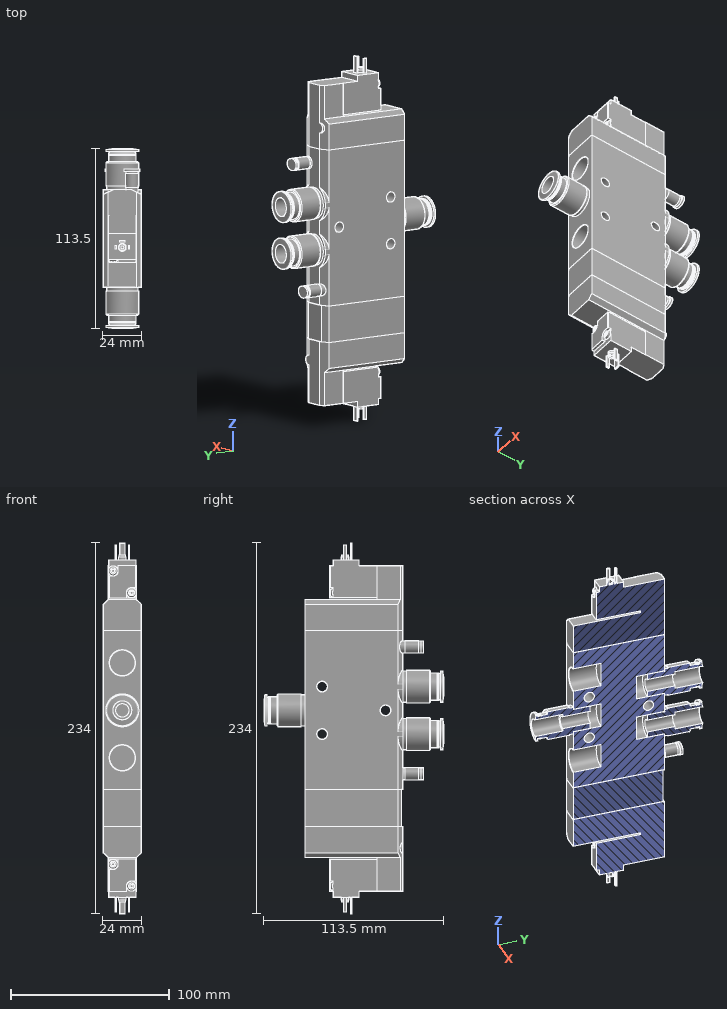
import cadquery as cq

overall_depth = 113.5
body_width = 24.0
half_width = body_width / 2
front_y = -31.0
back_y = 31.0
bevel_start_y = 27.8
bevel_end_x = 5.5
spacer_back_y = 30.2

stack_half_length = 81.5
cap_length = 19.7
spacer_length = 23.5
body_top = stack_half_length - cap_length
spacer_bottom = -body_top
body_bottom = spacer_bottom + spacer_length
port_z = 11.5

port_dia = 16.1
port_mouth_dia = 16.5
port_depth = 18.7
front_port_pitch = 30.0
back_port_offset = front_port_pitch / 2
boss_dia = 24.3
mount_dia = 6.5
mount_pitch = 40.0
mount_y = mount_pitch / 2
pilot_port_dia = 6.5
pilot_port_depth = 9.4
pilot_port_x = 6.0
pilot_port_offset = 40.0

base_dia = 20.0
sleeve_dia = 20.8
sleeve_end_dia = 19.5
neck_dia = 17.3
groove_dia = 16.5
rim_width = 20.8
rim_height = 20.0
nose_dia = 19.5
bore_dia = 12.0
tube_stop_dia = 8.5
base_end = 2.3
sleeve_end = 17.5
groove_start = 21.5
groove_end = 22.2
neck_end = 23.0
rim_start = 23.9
rim_end = 25.3
fitting_end = overall_depth / 2 - back_y
sleeve_bevel = 0.7
stem_length = 11.7
tube_stop_depth = 18.7

small_dia = 8.0
small_neck_dia = 7.7
small_base_dia = 7.7
small_base_end = 1.5
small_sleeve_end = 10.0
small_flange_start = 11.5
small_flange_end = 13.0
small_flange_width = 9.8

tower_half_width = 9.0
tower_front_y = 14.5
tower_top = 102.7
cap_bevel_x = half_width - tower_half_width
cap_bevel_z = 3.0
button_dia = 6.5
button_x = -5.8
button_z = 75.3

solenoid_half_width = 8.7
solenoid_front_y = -15.2
solenoid_gap = 1.0
solenoid_bottom = stack_half_length + solenoid_gap
solenoid_edge = 0.5
hat_front_y = -13.0
hat_back_y = 3.3
hat_top = 106.5

pocket_dia = 6.5
screw_x = 5.8
screw_base_dia = 6.3
screw_head_dia = 3.7
screw_socket_dia = 2.0
screw_height = 1.6
socket_depth = 1.0

plug_y = -5.5
collar_tiers = [(5.0, 108.0), (4.2, 109.5)]
plug_hole_dia = 2.0
blade_thickness = 1.0
center_blade_width = 3.5
center_blade_y = -1.6
center_blade_top = 117.0
side_blade_width = 2.0
side_blade_x = 4.2
side_blade_top = 115.8


def box(x_range, y_range, z_range):
    """Box spanning the given ranges."""
    corner = (x_range[0], y_range[0], z_range[0])
    size = (x_range[1] - x_range[0], y_range[1] - y_range[0], z_range[1] - z_range[0])
    return cq.Workplane("XY").box(*size, centered=False).translate(corner)


def cylinder_along_y(dia, x, z, y_start, y_end):
    """Cylinder parallel to Y between two Y positions."""
    length = y_end - y_start
    start = cq.Vector(x, y_start, z)
    return cq.Workplane(cq.Solid.makeCylinder(dia / 2, length, start, cq.Vector(0, 1, 0)))


def beveled_prism(z_bottom, z_top):
    """Section of the valve stack between two heights: a rectangle with wide bevels at the two back edges."""
    outline = [
        (-half_width, front_y),
        (half_width, front_y),
        (half_width, bevel_start_y),
        (bevel_end_x, back_y),
        (-bevel_end_x, back_y),
        (-half_width, bevel_start_y),
    ]
    return cq.Workplane("XY").workplane(offset=z_bottom).polyline(outline).close().extrude(z_top - z_bottom)


def port_cutter(z, face_y, inward):
    """Blind port drilled from a face; inward is +1 or -1 along Y, with a small bevel at the mouth."""
    mouth_radius = port_mouth_dia / 2
    radius = port_dia / 2
    mouth_depth = mouth_radius - radius
    profile = [(0, 0), (mouth_radius, 0), (radius, mouth_depth), (radius, port_depth), (0, port_depth)]
    cutter = cq.Workplane("XY").polyline(profile).close().revolve(360, (0, 0), (0, 1))
    if inward < 0:
        cutter = cutter.rotate((0, 0, 0), (1, 0, 0), 180)
    return cutter.translate((0, face_y, z))


def back_boss(z):
    """Round seat of a back port that fills up the bevels, trimmed flush with the side faces."""
    disc = cylinder_along_y(boss_dia, 0, z, bevel_start_y, back_y)
    side_limits = box((-half_width, half_width), (bevel_start_y, back_y), (z - boss_dia, z + boss_dia))
    return disc.intersect(side_limits)


def make_valve_body():
    body = beveled_prism(body_bottom, body_top)
    for side in (-1, 1):
        body = body.union(back_boss(port_z + side * back_port_offset))
    for step in (-1, 0, 1):
        body = body.cut(port_cutter(port_z + step * front_port_pitch, front_y, 1))
    for side in (-1, 1):
        body = body.cut(port_cutter(port_z + side * back_port_offset, back_y, -1))
        pilot_z = port_z + side * pilot_port_offset
        pilot_start_y = back_y - pilot_port_depth
        body = body.cut(
            cylinder_along_y(pilot_port_dia, side * pilot_port_x, pilot_z, pilot_start_y, back_y)
        )
        body = body.cut(
            cylinder_along_y(small_base_dia, side * pilot_port_x, pilot_z, bevel_start_y, back_y)
        )
    mount_holes = (
        cq.Workplane("YZ")
        .pushPoints(
            [
                (mount_y, port_z),
                (-mount_y, port_z + back_port_offset),
                (-mount_y, port_z - back_port_offset),
            ]
        )
        .circle(mount_dia / 2)
        .extrude(half_width, both=True)
    )
    return body.cut(mount_holes)


def make_spacer():
    full = beveled_prism(spacer_bottom, body_bottom)
    return full.intersect(
        box((-half_width, half_width), (front_y, spacer_back_y), (spacer_bottom, body_bottom))
    )


def cap_block():
    """End block with beveled long edges and a manual override button in the back bevel."""
    block = beveled_prism(body_top, stack_half_length)
    end_outline = [
        (-half_width, body_top),
        (half_width, body_top),
        (half_width, stack_half_length - cap_bevel_z),
        (half_width - cap_bevel_x, stack_half_length),
        (cap_bevel_x - half_width, stack_half_length),
        (-half_width, stack_half_length - cap_bevel_z),
    ]
    depth = back_y - front_y
    end_prism = (
        cq.Workplane("XZ", origin=(0, back_y, 0)).polyline(end_outline).close().extrude(depth)
    )
    button = cylinder_along_y(button_dia, button_x, button_z, bevel_start_y, back_y)
    return block.intersect(end_prism).union(button)


def tower():
    """Rear block beside the solenoid, with the same back bevels as the stack."""
    limits = box(
        (-tower_half_width, tower_half_width), (tower_front_y, back_y), (stack_half_length, tower_top)
    )
    return beveled_prism(stack_half_length, tower_top).intersect(limits)


def screw_pocket(side):
    """Corner pocket around a conical screw head, open to the nearest side and end (side is +1 or -1)."""
    radius = pocket_dia / 2
    x = side * screw_x
    end_z = solenoid_bottom if side > 0 else tower_top
    z = end_z + side * radius
    y_range = (solenoid_front_y, hat_front_y)
    side_x = side * tower_half_width
    pocket = cylinder_along_y(pocket_dia, x, z, *y_range)
    pocket = pocket.union(box(sorted((x, side_x)), y_range, (z - radius, z + radius)))
    pocket = pocket.union(box(sorted((x - side * radius, side_x)), y_range, sorted((z, end_z))))
    head_y = hat_front_y - screw_height
    head = (
        cq.Workplane("XZ", origin=(x, hat_front_y, z))
        .circle(screw_base_dia / 2)
        .workplane(offset=screw_height)
        .circle(screw_head_dia / 2)
        .loft()
    )
    socket = cylinder_along_y(screw_socket_dia, x, z, head_y, head_y + socket_depth)
    return pocket.cut(head.cut(socket))


def solenoid():
    x_range = (-solenoid_half_width, solenoid_half_width)
    coil = box(x_range, (solenoid_front_y, tower_front_y), (solenoid_bottom, tower_top))
    coil = coil.edges("|Z and <Y").chamfer(solenoid_edge)
    coil = coil.union(box(x_range, (hat_front_y, hat_back_y), (solenoid_bottom, hat_top)))
    for side in (-1, 1):
        coil = coil.cut(screw_pocket(side))
    return coil


def plug():
    """Stepped collar and three flat contact blades on top of the solenoid."""
    pins = cq.Workplane("XY")
    for dia, top in collar_tiers:
        tier = cq.Workplane("XY", origin=(0, plug_y, hat_top)).circle(dia / 2).extrude(top - hat_top)
        pins = pins.union(tier)
    hole_depth = collar_tiers[-1][1] - hat_top
    pins = pins.cut(
        cq.Workplane("XY", origin=(0, plug_y, hat_top)).circle(plug_hole_dia / 2).extrude(hole_depth)
    )
    half_blade = blade_thickness / 2
    center_x = (-center_blade_width / 2, center_blade_width / 2)
    center_y = (center_blade_y - half_blade, center_blade_y + half_blade)
    pins = pins.union(box(center_x, center_y, (hat_top, center_blade_top)))
    side_y = (plug_y - side_blade_width / 2, plug_y + side_blade_width / 2)
    for x in (-side_blade_x, side_blade_x):
        pins = pins.union(box((x - half_blade, x + half_blade), side_y, (hat_top, side_blade_top)))
    return pins


def make_pilot_end(turn):
    """End cap, tower, solenoid and plug as one body, turned about the Y axis."""
    end = cap_block().union(tower()).union(solenoid()).union(plug())
    return end.rotate((0, 0, 0), (0, 1, 0), turn)


def turned(profile):
    """Solid of revolution about Y from (radius, y) points."""
    return cq.Workplane("XY").polyline(profile).close().revolve(360, (0, 0), (0, 1))


def oval_flange(width, height, y_start, y_end):
    """Oval disc of a release ring, lying across Y."""
    disc = cq.Workplane("XZ", origin=(0, y_end, 0)).ellipse(width / 2, height / 2)
    return disc.extrude(y_end - y_start)


def make_large_fitting():
    """Push-in fitting that points along +Y, with its seat at y = 0."""
    profile = [
        (0, -stem_length),
        (port_dia / 2, -stem_length),
        (port_dia / 2, 0),
        (base_dia / 2, 0),
        (base_dia / 2, base_end),
        (sleeve_dia / 2, base_end),
        (sleeve_dia / 2, sleeve_end - sleeve_bevel),
        (sleeve_end_dia / 2, sleeve_end),
        (neck_dia / 2, sleeve_end),
        (neck_dia / 2, groove_start),
        (groove_dia / 2, groove_start),
        (groove_dia / 2, groove_end),
        (neck_dia / 2, groove_end),
        (neck_dia / 2, neck_end),
        (groove_dia / 2, neck_end),
        (groove_dia / 2, rim_end),
        (nose_dia / 2, rim_end),
        (bore_dia / 2, fitting_end),
        (0, fitting_end),
    ]
    fitting = turned(profile).union(oval_flange(rim_width, rim_height, rim_start, rim_end))
    bore = cylinder_along_y(bore_dia, 0, 0, fitting_end - tube_stop_depth, fitting_end)
    passage = cylinder_along_y(tube_stop_dia, 0, 0, -stem_length, fitting_end)
    return fitting.cut(bore).cut(passage)


def make_small_fitting():
    """Small push-in fitting that points along +Y, with its seat at y = 0."""
    seat_depth = back_y - bevel_start_y
    profile = [
        (0, -pilot_port_depth),
        (pilot_port_dia / 2, -pilot_port_depth),
        (pilot_port_dia / 2, -seat_depth),
        (small_base_dia / 2, -seat_depth),
        (small_base_dia / 2, small_base_end),
        (small_dia / 2, small_base_end),
        (small_dia / 2, small_sleeve_end),
        (small_neck_dia / 2, small_sleeve_end),
        (small_neck_dia / 2, small_flange_start),
        (0, small_flange_start),
    ]
    flange = oval_flange(small_flange_width, small_neck_dia, small_flange_start, small_flange_end)
    return turned(profile).union(flange)


valve_body = make_valve_body()
spacer = make_spacer()
pilot_ends = [make_pilot_end(turn) for turn in (0, 180)]

front_fitting = make_large_fitting().rotate((0, 0, 0), (0, 0, 1), 180).translate((0, front_y, port_z))
large_fittings = [front_fitting]
small_fittings = []
for side in (-1, 1):
    large_z = port_z + side * back_port_offset
    large_fittings.append(make_large_fitting().translate((0, back_y, large_z)))
    small_z = port_z + side * pilot_port_offset
    small_fittings.append(make_small_fitting().translate((side * pilot_port_x, back_y, small_z)))

bodies = [valve_body, spacer, *pilot_ends, *large_fittings, *small_fittings]
result = cq.Compound.makeCompound([body.val() for body in bodies])